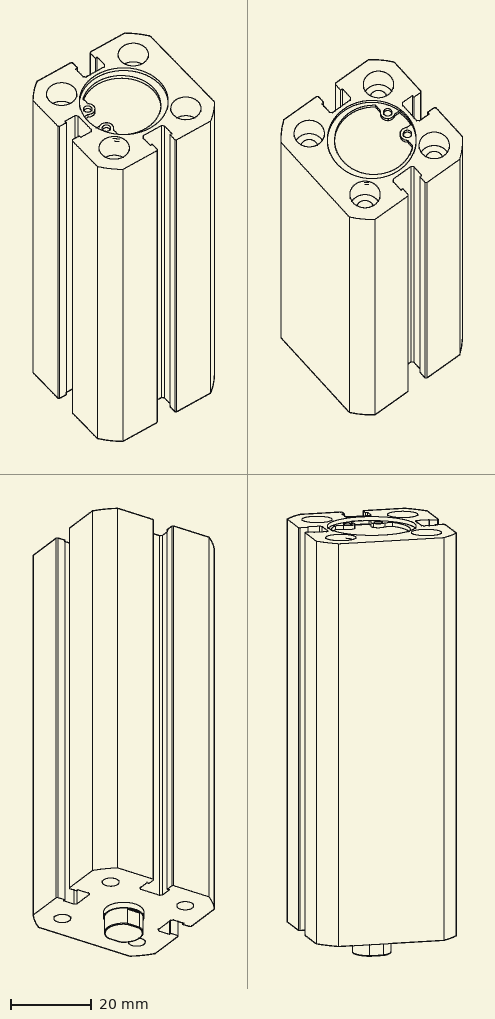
import cadquery as cq
import math

barrel_width = 36.0
barrel_height = 102.0
corner_diameter = 45.0

bolt_pitch = 22.0
bolt_hole_diameter = 4.2
counterbore_diameter = 7.5
counterbore_depth = 7.0

slot_mouth_width = 5.4
slot_inner_width = 6.6
slot_depth = 6.0
slot_lip_depth = 2.4
slot_mouth_chamfer = 0.3
slot_floor_chamfer = 0.5
slot_directions = (180, 0, -90)

bore_diameter = 22.0
cap_thickness = 8.0
ring_thickness = 1.0
ring_diameter = 23.3
ring_recess = 1.0

ring_opening_diameter = 19.5
ring_opening_offset = 0.7
ring_opening_bottom = -7.1
ring_gap_width = 4.8
lug_spacing = 7.8
lug_y = -8.2
lug_diameter = 3.6
lug_hole_diameter = 2.1

rod_diameter = 10.0
rod_projection = 6.0
nose_diameter = 9.6
nose_length = 4.5
nose_chamfer = 0.2
flats_width = 8.9
flats_length = 4.2

ring_top = barrel_height - ring_recess
cap_top = ring_top - ring_thickness
cap_bottom = cap_top - cap_thickness
nose_bottom = -rod_projection
shank_bottom = nose_bottom + nose_length


def cylinder(diameter, bottom, top):
    return cq.Workplane("XY").workplane(offset=bottom).circle(diameter / 2).extrude(top - bottom)


def slot_cutter(direction):
    """Stepped slot drawn opening toward +X, then turned to its side of the barrel."""
    face = barrel_width / 2
    floor = face - slot_depth
    step = face - slot_lip_depth
    mouth = slot_mouth_width / 2
    inner = slot_inner_width / 2
    half_outline = [
        (floor, inner - slot_floor_chamfer),
        (floor + slot_floor_chamfer, inner),
        (step, inner),
        (step, mouth),
        (face - slot_mouth_chamfer, mouth),
        (face, mouth + slot_mouth_chamfer),
    ]
    mirrored_half = [(x, -y) for x, y in reversed(half_outline)]
    cutter = cq.Workplane("XY").polyline(half_outline + mirrored_half).close().extrude(barrel_height)
    return cutter.rotate((0, 0, 0), (0, 0, 1), direction)


def make_barrel():
    barrel = cq.Workplane("XY").rect(barrel_width, barrel_width).extrude(barrel_height)
    barrel = barrel.intersect(cylinder(corner_diameter, 0, barrel_height))
    for direction in slot_directions:
        barrel = barrel.cut(slot_cutter(direction))
    barrel = (
        barrel.faces(">Z").workplane(origin=(0, 0, barrel_height))
        .rect(bolt_pitch, bolt_pitch, forConstruction=True).vertices()
        .cboreHole(bolt_hole_diameter, counterbore_diameter, counterbore_depth)
    )
    barrel = barrel.cut(cylinder(bore_diameter, cap_bottom, barrel_height))
    barrel = barrel.cut(cylinder(ring_diameter, cap_top, ring_top))
    return barrel.cut(cylinder(rod_diameter, 0, cap_bottom))


def make_cap():
    return cylinder(bore_diameter, cap_bottom, cap_top)


def make_ring():
    ring_plane = cq.Workplane("XY").workplane(offset=cap_top)
    lug_centers = [(side * lug_spacing / 2, lug_y) for side in (-1, 1)]

    half_chord = math.sqrt(
        (ring_opening_diameter / 2) ** 2 - (ring_opening_bottom + ring_opening_offset) ** 2
    )
    opening = (
        ring_plane.moveTo(-half_chord, ring_opening_bottom)
        .threePointArc(
            (0, ring_opening_diameter / 2 - ring_opening_offset),
            (half_chord, ring_opening_bottom),
        )
        .close().extrude(ring_thickness)
    )
    gap = (
        ring_plane.center(0, -ring_diameter / 2)
        .rect(ring_gap_width, ring_diameter).extrude(ring_thickness)
    )
    lugs = ring_plane.pushPoints(lug_centers).circle(lug_diameter / 2).extrude(ring_thickness)
    plier_holes = ring_plane.pushPoints(lug_centers).circle(lug_hole_diameter / 2).extrude(ring_thickness)

    ring = cylinder(ring_diameter, cap_top, ring_top)
    return ring.cut(opening).cut(gap).union(lugs).cut(plier_holes)


def make_rod():
    shank = cylinder(rod_diameter, shank_bottom, cap_bottom)
    nose = cylinder(nose_diameter, nose_bottom, shank_bottom)
    flats = (
        cq.Workplane("XY").workplane(offset=nose_bottom)
        .rect(rod_diameter, flats_width).extrude(flats_length)
    )
    nose_round = cylinder(nose_diameter, nose_bottom + flats_length, shank_bottom)
    nose = nose.intersect(flats.union(nose_round))
    nose = nose.faces("<Z").chamfer(nose_chamfer)
    return shank.union(nose)


barrel = make_barrel()
cap = make_cap()
ring = make_ring()
rod = make_rod()

result = cq.Compound.makeCompound([barrel.val(), cap.val(), ring.val(), rod.val()])